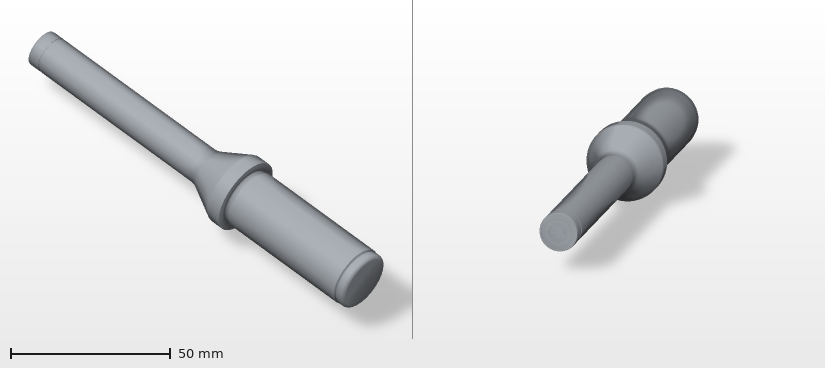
import cadquery as cq

LENGTH = 137.0
TIP_LENGTH = 5.0
THROAT_START = 68.5
CONE_START = 71.2
CONE_END = 81.5
FLANGE_START = 82.7
FLANGE_END = 86.7
NECK_START = 87.1
NECK_END = 88.0
GRIP_START = 88.8
GRIP_END = 133.3
END_GROOVE_FLOOR_START = 133.6
END_GROOVE_FLOOR_END = 133.7
END_LAND_START = 134.1
END_ROUND_RADIUS = 1.2

ROD_RADIUS = 12.5 / 2
FLANGE_RADIUS = 25.0 / 2
GRIP_RADIUS = 20.0 / 2
NECK_RADIUS = 19.5 / 2
CONE_START_RADIUS = 6.8
CONE_END_RADIUS = 12.2
NECK_RELIEF_RADIUS = 9.6
END_GROOVE_RADIUS = 9.5

TIP_CHAMFER_LENGTH = 0.5
TIP_CHAMFER_DEPTH = 0.1
SEAM_GROOVE_WIDTH = 0.8
SEAM_GROOVE_DEPTH = 0.1
FACE_RECESS_DEPTH = 0.1
FACE_RING_LIMITS = ((4.2, 5.6), (1.9, 3.2))
CENTRE_RECESS_RADIUS = 1.6

X_DIRECTION = (1, 0, 0)


def revolve_about_x(profile):
    return profile.close().revolve(360, (0, 0, 0), X_DIRECTION)


def make_shaft():
    """Rod, conical shoulder, flange and grip turned as one piece."""
    profile = (
        cq.Workplane("XY")
        .moveTo(TIP_LENGTH, 0)
        .lineTo(TIP_LENGTH, ROD_RADIUS)
        .lineTo(THROAT_START, ROD_RADIUS)
        .tangentArcPoint((CONE_START, CONE_START_RADIUS), relative=False)
        .lineTo(CONE_END, CONE_END_RADIUS)
        .tangentArcPoint((FLANGE_START, FLANGE_RADIUS), relative=False)
        .lineTo(FLANGE_END, FLANGE_RADIUS)
        .lineTo(FLANGE_END, NECK_RELIEF_RADIUS)
        .lineTo(NECK_START, NECK_RADIUS)
        .lineTo(NECK_END, NECK_RADIUS)
        .lineTo(GRIP_START, GRIP_RADIUS)
        .lineTo(GRIP_END, GRIP_RADIUS)
        .lineTo(END_GROOVE_FLOOR_START, END_GROOVE_RADIUS)
        .lineTo(END_GROOVE_FLOOR_END, END_GROOVE_RADIUS)
        .lineTo(END_LAND_START, NECK_RADIUS)
        .lineTo(LENGTH - END_ROUND_RADIUS, NECK_RADIUS)
        .tangentArcPoint((END_ROUND_RADIUS, -END_ROUND_RADIUS))
        .lineTo(LENGTH, 0)
    )
    return revolve_about_x(profile)


def make_tip():
    """End cap of the rod, with a chamfered edge, a seam groove and shallow rings in its face."""
    groove_start = TIP_LENGTH - SEAM_GROOVE_WIDTH
    groove_radius = ROD_RADIUS - SEAM_GROOVE_DEPTH
    profile = (
        cq.Workplane("XY")
        .lineTo(0, ROD_RADIUS - TIP_CHAMFER_DEPTH)
        .lineTo(TIP_CHAMFER_LENGTH, ROD_RADIUS)
        .lineTo(groove_start, ROD_RADIUS)
        .lineTo(groove_start, groove_radius)
        .lineTo(TIP_LENGTH, groove_radius)
        .lineTo(TIP_LENGTH, 0)
    )
    cap = revolve_about_x(profile)
    cap = cap.cut(cq.Workplane("YZ").circle(CENTRE_RECESS_RADIUS).extrude(FACE_RECESS_DEPTH))
    for inner_radius, outer_radius in FACE_RING_LIMITS:
        ring = cq.Workplane("YZ").circle(outer_radius).circle(inner_radius)
        cap = cap.cut(ring.extrude(FACE_RECESS_DEPTH))
    return cap


shaft = make_shaft()
tip = make_tip()
result = cq.Compound.makeCompound([shaft.val(), tip.val()])